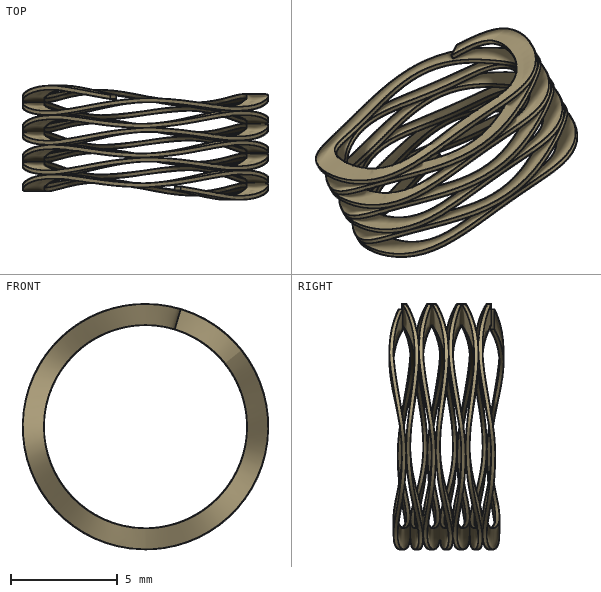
import cadquery as cq
import math

outer_radius = 5.75
inner_radius = 4.75
overall_length = 5.36
strip_thickness = 0.2
contact_gap = 0.005
waves_per_turn = 3.5
half_wave_count = 47
end_angle = 16.7
points_per_half_wave = 10

half_wave = 180.0 / waves_per_turn
tail_angle = half_wave - end_angle
crest_travel = half_wave_count * half_wave / 2
end_travel = crest_travel + tail_angle

wave_turns = 2 * crest_travel / 360.0
turn_pitch = (overall_length + contact_gap) / (wave_turns + 1)
wave_height = turn_pitch - strip_thickness - contact_gap


def axial_position(travel):
    """Y of the strip's middle surface, `travel` degrees from mid-length."""
    if abs(travel) > crest_travel:
        travel = math.copysign(2 * crest_travel - abs(travel), travel)
    wave = math.sin(waves_per_turn * math.radians(travel)) * wave_height / 2
    return turn_pitch * travel / 360.0 - wave


def strip_point(travel, radius, offset):
    """Point on the strip; mid-length lies at -Z, at Y = 0."""
    angle = math.radians(travel)
    x = -radius * math.sin(angle)
    z = -radius * math.cos(angle)
    return cq.Vector(x, axial_position(travel) + offset, z)


def strip_edge(start, end, radius, offset):
    """One long edge of the strip between two travel angles."""
    steps = math.ceil((end - start) / half_wave * points_per_half_wave)
    travels = [start + (end - start) * i / steps for i in range(steps + 1)]
    return cq.Edge.makeSpline([strip_point(t, radius, offset) for t in travels])


half_thickness = strip_thickness / 2
section_corners = [
    (inner_radius, -half_thickness),
    (outer_radius, -half_thickness),
    (outer_radius, half_thickness),
    (inner_radius, half_thickness),
]


def side_faces(start, end):
    """The four long faces of one stretch of strip."""
    edges = [strip_edge(start, end, *corner) for corner in section_corners]
    next_edges = edges[1:] + edges[:1]
    return [cq.Face.makeRuledSurface(a, b) for a, b in zip(edges, next_edges)]


def end_face(travel):
    """Flat radial face closing the strip."""
    points = [strip_point(travel, *corner) for corner in section_corners]
    return cq.Face.makeFromWires(cq.Wire.makePolygon(points, close=True))


half_turns = math.floor(crest_travel / 180.0)
stretch_ends = [180.0 * i for i in range(-half_turns, half_turns + 1)]
stretch_ends = [-end_travel, -crest_travel] + stretch_ends + [crest_travel, end_travel]

faces = [end_face(-end_travel), end_face(end_travel)]
for start, end in zip(stretch_ends, stretch_ends[1:]):
    faces += side_faces(start, end)
spring = cq.Solid.makeSolid(cq.Shell.makeShell(faces))
result = cq.Workplane(spring)